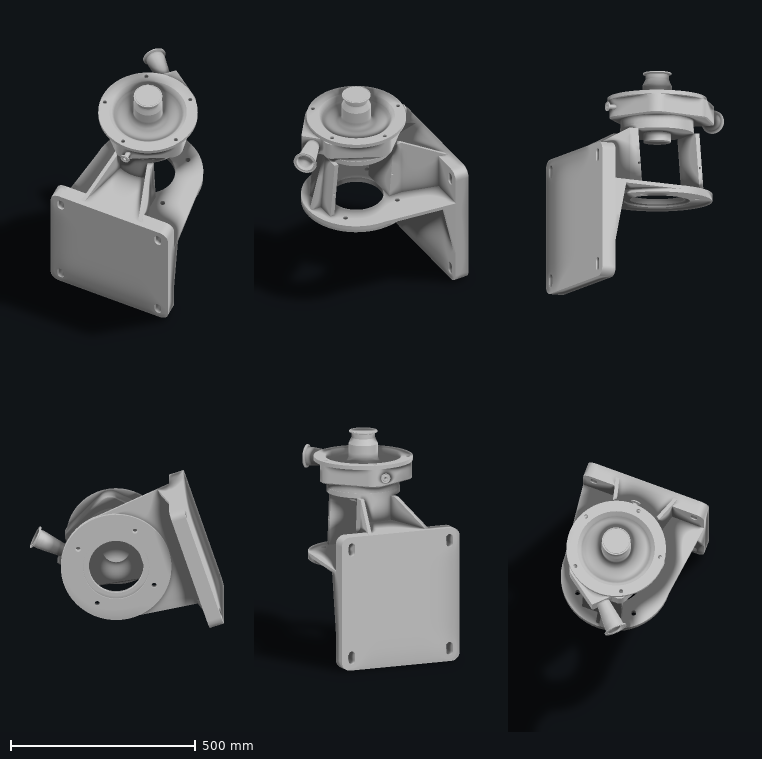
import cadquery as cq
import math


PLATE_WIDTH = 350.0
PLATE_HEIGHT = 370.0
PLATE_THICKNESS = 40.0
PLATE_BACK_Y = -250.0
PLATE_FRONT_Y = PLATE_BACK_Y + PLATE_THICKNESS
PLATE_CORNER_RADIUS = 25.0
SLOT_SPACING_X = 290.0
SLOT_EDGE_DISTANCE = 35.0
SLOT_LENGTH = 36.0
SLOT_WIDTH = 19.0

SHELF_TOP_Z = 270.0
SHELF_RADIUS = 150.0
SHELF_THICKNESS = 20.0
WEB_THICKNESS = 10.0
SHELF_BORE_DIAMETER = 148.0
REGISTER_DIAMETER = 180.0
REGISTER_DEPTH = 5.0
MOTOR_BOLT_CIRCLE = 230.0
MOTOR_BOLT_DIAMETER = 14.0
MOTOR_BOLT_COUNT = 4
MOTOR_BOLT_START = 45.0

GUSSET_THICKNESS = 10.0
GUSSET_TOP_Y = -176.0
GUSSET_BOTTOM_Z = 100.0

LANTERN_TOP_Z = 436.0
LANTERN_RADIUS = 100.0
LANTERN_HALF_WIDTH = 56.0
WINDOW_FRONT_Y = -71.0
WINDOW_REAR_Y = 101.5
WINDOW_LEAN = 13.0
REAR_WALL_THICKNESS = 12.0
REAR_RIB_THICKNESS = 10.0
REAR_RIB_FOOT_Y = 142.5
RIB_THICKNESS = 10.0
RIB_ANGLE = 15.0
RIB_BEND_Y = -109.0
RIB_END_Y = -235.0
RIB_ROOT_Y = -88.0
GUARD_HOLE_DIAMETER = 7.0
GUARD_HOLE_DEPTH = 20.0
GUARD_HOLE_Z = 341.0
GUARD_HOLE_FRONT_Y = -81.0

RING_TOP_Z = 450.0
HUB_RADIUS = 99.0
SHAFT_RADIUS = 37.5
SHAFT_BOTTOM_Z = 413.0

CASING_BOTTOM_Z = 472.0
CASING_TOP_Z = 523.0
CASING_SIDES = 5
CASING_START = 45.0
CASING_FLAT_DISTANCE = 114.3
CASING_CORNER_RADIUS = 35.0
CASING_BOTTOM_CHAMFER = 3.0
CASING_REAR_Y = 128.0
CASING_REAR_CORNER_RADIUS = 20.0
SPOUT_FACE_DISTANCE = 115.3
SPOUT_TIP_Y = 169.0

FLANGE_RADIUS = 135.0
FLANGE_TOP_Z = 533.5
FLANGE_BOLT_CIRCLE = 243.5
FLANGE_BOLT_DIAMETER = 11.5
FLANGE_BOLT_COUNT = 5
FLANGE_BOLT_START = 45.0
RECESS_FLOOR_Z = 518.0
RECESS_RIM_RADIUS = 105.0
RECESS_STEP_RADIUS = 94.0
RECESS_FLOOR_RADIUS = 84.0
RECESS_STEP_Z = 523.0

INLET_TOP_Z = 603.0
INLET_RADIUS = 40.0
INLET_FILLET = 15.0
INLET_CONE_BOTTOM_Z = 568.0
INLET_CONE_TOP_Z = 585.0
INLET_NECK_RADIUS = 32.0
INLET_FERRULE_RADIUS = 38.75

RIM_EDGE = 2.8
RIM_TAPER = 2.7

GROOVE_INSET = 3.3
GROOVE_RADIUS = 1.2

NOZZLE_ANGLE = 45.0
NOZZLE_OFFSET = 91.2
NOZZLE_Z = (CASING_BOTTOM_Z + CASING_TOP_Z) / 2
NOZZLE_LENGTH = 84.45
NOZZLE_ROOT_RADIUS = 18.0
NOZZLE_PIPE_RADIUS = 25.4
NOZZLE_PIPE_LENGTH = 18.5
NOZZLE_FERRULE_RADIUS = 32.0
NOZZLE_BORE_RADIUS = 23.7
NOZZLE_BORE_MID_RADIUS = 22.5
NOZZLE_BORE_ROOT_RADIUS = 15.0
NOZZLE_BORE_STRAIGHT = 12.5
NOZZLE_BORE_MID_DEPTH = 27.0

DRAIN_Z = 500.0
DRAIN_START_Y = -120.0
DRAIN_END_Y = -151.0
DRAIN_NECK_RADIUS = 6.4
DRAIN_FERRULE_RADIUS = 13.0
DRAIN_BORE_RADIUS = 4.5
DRAIN_BORE_DEPTH = 20.0


def prism_along_z(points, bottom, top):
    """Extrude an XY outline from one height to another."""
    return cq.Workplane("XY").workplane(offset=bottom).polyline(points).close().extrude(top - bottom)


def prism_along_x(points, width):
    """Extrude a YZ outline symmetrically about X = 0."""
    return cq.Workplane("YZ").polyline(points).close().extrude(width / 2, both=True)


def disc(radius, bottom, top):
    return cq.Workplane("XY").workplane(offset=bottom).circle(radius).extrude(top - bottom)


def turned(profile):
    """Revolve an (r, z) profile about the Z axis."""
    return cq.Workplane("XZ").polyline(profile).close().revolve(360, (0, 0, 0), (0, 1, 0))


def polar(radius, degrees):
    angle = math.radians(degrees)
    return (radius * math.cos(angle), radius * math.sin(angle))


def make_plate():
    """Rounded mounting plate with four upright slots."""
    plate = (
        cq.Workplane("XZ", origin=(0, PLATE_FRONT_Y, 0))
        .center(0, PLATE_HEIGHT / 2)
        .rect(PLATE_WIDTH, PLATE_HEIGHT)
        .extrude(PLATE_THICKNESS)
        .edges("|Y")
        .fillet(PLATE_CORNER_RADIUS)
    )
    slots = (
        cq.Workplane("XZ", origin=(0, PLATE_FRONT_Y, 0))
        .center(0, PLATE_HEIGHT / 2)
        .rect(SLOT_SPACING_X, PLATE_HEIGHT - 2 * SLOT_EDGE_DISTANCE, forConstruction=True)
        .vertices()
        .slot2D(SLOT_LENGTH, SLOT_WIDTH, 90)
        .extrude(PLATE_THICKNESS)
    )
    return plate.cut(slots)


def web_prism(bottom, top, inset=0.0):
    """Trapezoid widening from the shelf disc to the mounting plate."""
    narrow = SHELF_RADIUS - inset
    wide = PLATE_WIDTH / 2 - inset
    outline = [(-narrow, 0), (-wide, PLATE_FRONT_Y), (wide, PLATE_FRONT_Y), (narrow, 0)]
    return prism_along_z(outline, bottom, top)


def make_shelf():
    """Bored shelf disc with its web, bolt holes and a register recess underneath."""
    bottom = SHELF_TOP_Z - SHELF_THICKNESS
    shelf = disc(SHELF_RADIUS, bottom, SHELF_TOP_Z)
    shelf = shelf.union(web_prism(SHELF_TOP_Z - WEB_THICKNESS, SHELF_TOP_Z))
    bolt_holes = (
        cq.Workplane("XY", origin=(0, 0, SHELF_TOP_Z))
        .polarArray(MOTOR_BOLT_CIRCLE / 2, MOTOR_BOLT_START, 360, MOTOR_BOLT_COUNT)
        .circle(MOTOR_BOLT_DIAMETER / 2)
        .extrude(-SHELF_THICKNESS)
    )
    bore = disc(SHELF_BORE_DIAMETER / 2, bottom, SHELF_TOP_Z)
    register = disc(REGISTER_DIAMETER / 2, bottom, bottom + REGISTER_DEPTH)
    return shelf.cut(bolt_holes).cut(bore).cut(register)


def make_gussets():
    """Two side gussets whose outer faces are flush with the web sides."""
    top = SHELF_TOP_Z - WEB_THICKNESS
    triangle = [(PLATE_FRONT_Y, top), (GUSSET_TOP_Y, top), (PLATE_FRONT_Y, GUSSET_BOTTOM_Z)]
    sides = web_prism(GUSSET_BOTTOM_Z, top).cut(web_prism(GUSSET_BOTTOM_Z, top, GUSSET_THICKNESS))
    return prism_along_x(triangle, PLATE_WIDTH).intersect(sides)


def rib_outline(side):
    """Plan of one front rib: straight beside the lantern, then splayed outward."""
    slope = math.tan(math.radians(RIB_ANGLE))
    width = RIB_THICKNESS / math.cos(math.radians(RIB_ANGLE))
    outer_end = LANTERN_HALF_WIDTH + slope * (RIB_BEND_Y - RIB_END_Y)
    inner_end = outer_end - width
    inner_root = inner_end - slope * (RIB_ROOT_Y - RIB_END_Y)
    return [
        (side * LANTERN_HALF_WIDTH, WINDOW_FRONT_Y),
        (side * LANTERN_HALF_WIDTH, RIB_BEND_Y),
        (side * outer_end, RIB_END_Y),
        (side * inner_end, RIB_END_Y),
        (side * inner_root, RIB_ROOT_Y),
        (side * inner_root, WINDOW_FRONT_Y),
    ]


def make_lantern_front():
    """Round front wall with two splayed ribs, trimmed by the leaning window face."""
    trim_outline = [
        (WINDOW_FRONT_Y, SHELF_TOP_Z),
        (WINDOW_FRONT_Y - WINDOW_LEAN, LANTERN_TOP_Z),
        (RIB_BEND_Y, LANTERN_TOP_Z),
        (RIB_END_Y, PLATE_HEIGHT),
        (RIB_END_Y, SHELF_TOP_Z),
    ]
    width_limit = cq.Workplane("XY").box(2 * LANTERN_HALF_WIDTH, PLATE_WIDTH, 2 * LANTERN_TOP_Z)
    front = disc(LANTERN_RADIUS, SHELF_TOP_Z, LANTERN_TOP_Z).intersect(width_limit)
    for side in (-1, 1):
        front = front.union(prism_along_z(rib_outline(side), SHELF_TOP_Z, LANTERN_TOP_Z))
    return front.intersect(prism_along_x(trim_outline, PLATE_WIDTH))


def make_rib_infill():
    """Solid step between the ribs, level with the top of the mounting plate."""
    _, _, _, left_end, left_root, _ = rib_outline(-1)
    _, _, _, right_end, right_root, _ = rib_outline(1)
    return prism_along_z([left_end, right_end, right_root, left_root], SHELF_TOP_Z, PLATE_HEIGHT)


def make_lantern_rear():
    """Leaning rear wall stiffened by one central rib."""
    top_y = WINDOW_REAR_Y - WINDOW_LEAN
    wall = [
        (WINDOW_REAR_Y, SHELF_TOP_Z),
        (WINDOW_REAR_Y + REAR_WALL_THICKNESS, SHELF_TOP_Z),
        (top_y + REAR_WALL_THICKNESS, LANTERN_TOP_Z),
        (top_y, LANTERN_TOP_Z),
    ]
    rib = [
        (WINDOW_REAR_Y, SHELF_TOP_Z),
        (REAR_RIB_FOOT_Y, SHELF_TOP_Z),
        (LANTERN_RADIUS, LANTERN_TOP_Z),
        (top_y, LANTERN_TOP_Z),
    ]
    return prism_along_x(wall, 2 * LANTERN_HALF_WIDTH).union(prism_along_x(rib, REAR_RIB_THICKNESS))


def make_guard_holes():
    """Blind holes in both sides of the front and rear lantern walls."""
    rise = (GUARD_HOLE_Z - SHELF_TOP_Z) / (LANTERN_TOP_Z - SHELF_TOP_Z)
    rear_y = WINDOW_REAR_Y - WINDOW_LEAN * rise + REAR_WALL_THICKNESS / 2
    holes = cq.Workplane("XY")
    for side in (-1, 1):
        pair = (
            cq.Workplane("YZ", origin=(side * LANTERN_HALF_WIDTH, 0, GUARD_HOLE_Z))
            .pushPoints([(GUARD_HOLE_FRONT_Y, 0), (rear_y, 0)])
            .circle(GUARD_HOLE_DIAMETER / 2)
            .extrude(-side * GUARD_HOLE_DEPTH)
        )
        holes = holes.add(pair)
    return holes.combine()


def make_bearing_housing():
    """Ring and hub under the casing, with the shaft end below."""
    ring = disc(LANTERN_RADIUS, LANTERN_TOP_Z, RING_TOP_Z)
    hub = disc(HUB_RADIUS, RING_TOP_Z, CASING_BOTTOM_Z)
    shaft = disc(SHAFT_RADIUS, SHAFT_BOTTOM_Z, LANTERN_TOP_Z)
    return ring.union(hub).union(shaft)


def make_casing():
    """Pentagon casing; its rear corner opens into the spout block."""
    apex_radius = CASING_FLAT_DISTANCE / math.cos(math.pi / CASING_SIDES)
    side_angle = 360 / CASING_SIDES
    round_corners = [polar(apex_radius, CASING_START - i * side_angle) for i in range(CASING_SIDES - 1)]
    left_normal = math.radians(CASING_START + 1.5 * side_angle)
    rear_x = (CASING_FLAT_DISTANCE - CASING_REAR_Y * math.sin(left_normal)) / math.cos(left_normal)
    rear_corner = (rear_x, CASING_REAR_Y)
    spout_shift = SPOUT_FACE_DISTANCE * math.sqrt(2)
    spout_root = (CASING_REAR_Y - spout_shift, CASING_REAR_Y)
    spout_tip = (SPOUT_TIP_Y - spout_shift, SPOUT_TIP_Y)
    outline = round_corners + [rear_corner, spout_root, spout_tip]

    casing = prism_along_z(outline, CASING_BOTTOM_Z, CASING_TOP_Z)
    for corner in round_corners:
        casing = casing.edges(corner_selector(corner)).fillet(CASING_CORNER_RADIUS)
    casing = casing.edges(corner_selector(rear_corner)).fillet(CASING_REAR_CORNER_RADIUS)

    spout_edges = cq.selectors.BoxSelector(
        (*spout_root, CASING_BOTTOM_Z - CASING_BOTTOM_CHAMFER),
        (apex_radius, SPOUT_TIP_Y, CASING_TOP_Z),
    )
    all_edges = cq.selectors.Selector()
    chamfer_edges = casing.faces("<Z").edges(cq.selectors.SubtractSelector(all_edges, spout_edges))
    return chamfer_edges.chamfer(CASING_BOTTOM_CHAMFER)


def corner_selector(corner):
    """Select the vertical casing edge through one outline corner."""
    return cq.selectors.NearestToPointSelector((*corner, (CASING_BOTTOM_Z + CASING_TOP_Z) / 2))


def make_cover():
    """Flat cover flange with its bolt holes."""
    bolt_holes = (
        cq.Workplane("XY", origin=(0, 0, FLANGE_TOP_Z))
        .polarArray(FLANGE_BOLT_CIRCLE / 2, FLANGE_BOLT_START, 360, FLANGE_BOLT_COUNT)
        .circle(FLANGE_BOLT_DIAMETER / 2)
        .extrude(CASING_TOP_Z - FLANGE_TOP_Z)
    )
    return disc(FLANGE_RADIUS, CASING_TOP_Z, FLANGE_TOP_Z).cut(bolt_holes)


def make_recess():
    """Dish cut into the cover: coned rim and rounded floor edge."""
    return (
        cq.Workplane("XZ")
        .moveTo(0, RECESS_FLOOR_Z)
        .lineTo(RECESS_FLOOR_RADIUS, RECESS_FLOOR_Z)
        .tangentArcPoint((RECESS_STEP_RADIUS, RECESS_STEP_Z), relative=False)
        .lineTo(RECESS_RIM_RADIUS, FLANGE_TOP_Z)
        .lineTo(0, FLANGE_TOP_Z)
        .close()
        .revolve(360, (0, 0, 0), (0, 1, 0))
    )


def make_inlet():
    """Closed inlet stub flaring into the recess floor."""
    stub = (
        cq.Workplane("XZ")
        .moveTo(0, INLET_TOP_Z)
        .lineTo(INLET_FERRULE_RADIUS, INLET_TOP_Z)
        .lineTo(INLET_FERRULE_RADIUS, INLET_TOP_Z - RIM_EDGE)
        .lineTo(INLET_NECK_RADIUS, INLET_TOP_Z - RIM_EDGE - RIM_TAPER)
        .lineTo(INLET_NECK_RADIUS, INLET_CONE_TOP_Z)
        .lineTo(INLET_RADIUS, INLET_CONE_BOTTOM_Z)
        .lineTo(INLET_RADIUS, RECESS_FLOOR_Z + INLET_FILLET)
        .tangentArcPoint((INLET_RADIUS + INLET_FILLET, RECESS_FLOOR_Z), relative=False)
        .lineTo(0, RECESS_FLOOR_Z)
        .close()
        .revolve(360, (0, 0, 0), (0, 1, 0))
    )
    return stub.cut(gasket_groove(INLET_FERRULE_RADIUS - GROOVE_INSET, INLET_TOP_Z))


def gasket_groove(radius, face_z):
    """Half-round ring cutter for the gasket groove in a ferrule face."""
    ring = cq.Solid.makeTorus(radius, GROOVE_RADIUS, cq.Vector(0, 0, face_z), cq.Vector(0, 0, 1))
    return cq.Workplane(obj=ring)


def aim_nozzle(body):
    """Lay a body turned about Z along the outlet direction, root on the spout face."""
    body = body.rotate((0, 0, 0), (1, 0, 0), -90)
    body = body.translate((NOZZLE_OFFSET, SPOUT_FACE_DISTANCE, NOZZLE_Z))
    return body.rotate((0, 0, 0), (0, 0, 1), NOZZLE_ANGLE)


def make_nozzle():
    """Conical outlet pipe ending in a ferrule."""
    pipe_start = NOZZLE_LENGTH - NOZZLE_PIPE_LENGTH
    body = turned([
        (0, 0),
        (NOZZLE_ROOT_RADIUS, 0),
        (NOZZLE_PIPE_RADIUS, pipe_start),
        (NOZZLE_PIPE_RADIUS, NOZZLE_LENGTH - RIM_EDGE - RIM_TAPER),
        (NOZZLE_FERRULE_RADIUS, NOZZLE_LENGTH - RIM_EDGE),
        (NOZZLE_FERRULE_RADIUS, NOZZLE_LENGTH),
        (0, NOZZLE_LENGTH),
    ])
    return aim_nozzle(body.cut(gasket_groove(NOZZLE_FERRULE_RADIUS - GROOVE_INSET, NOZZLE_LENGTH)))


def make_nozzle_bore():
    """Bore open at the ferrule, narrowing to the spout face."""
    return aim_nozzle(turned([
        (0, 0),
        (NOZZLE_BORE_ROOT_RADIUS, 0),
        (NOZZLE_BORE_MID_RADIUS, NOZZLE_LENGTH - NOZZLE_BORE_MID_DEPTH),
        (NOZZLE_BORE_RADIUS, NOZZLE_LENGTH - NOZZLE_BORE_STRAIGHT),
        (NOZZLE_BORE_RADIUS, NOZZLE_LENGTH),
        (0, NOZZLE_LENGTH),
    ]))


def make_drain():
    """Small drain neck with a bored ferrule."""
    length = DRAIN_START_Y - DRAIN_END_Y
    body = turned([
        (0, 0),
        (DRAIN_NECK_RADIUS, 0),
        (DRAIN_NECK_RADIUS, length - RIM_EDGE - RIM_TAPER),
        (DRAIN_FERRULE_RADIUS, length - RIM_EDGE),
        (DRAIN_FERRULE_RADIUS, length),
        (0, length),
    ])
    bore = disc(DRAIN_BORE_RADIUS, length - DRAIN_BORE_DEPTH, length)
    drain = body.cut(bore).cut(gasket_groove(DRAIN_FERRULE_RADIUS - GROOVE_INSET, length))
    return drain.rotate((0, 0, 0), (1, 0, 0), 90).translate((0, DRAIN_START_Y, DRAIN_Z))


bracket = make_plate().union(make_shelf()).union(make_gussets())
bracket = bracket.union(make_lantern_front()).union(make_rib_infill())
bracket = bracket.union(make_lantern_rear()).cut(make_guard_holes())

pump = make_bearing_housing().union(make_casing()).union(make_cover())
pump = pump.cut(make_recess()).union(make_inlet())
pump = pump.union(make_nozzle()).cut(make_nozzle_bore()).union(make_drain())

result = bracket.union(pump)